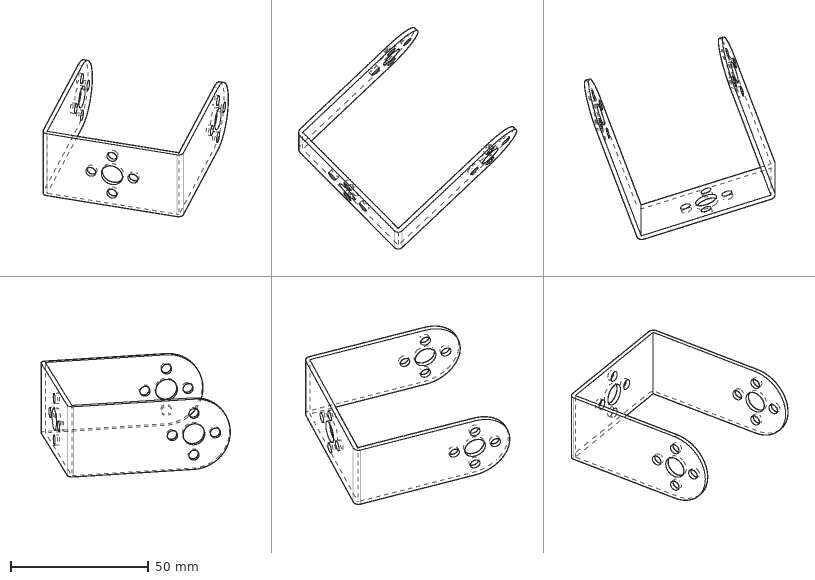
import cadquery as cq

width = 53.2
length = 60.1
height = 27.0
sheet = 1.6
bend_radius = 2.0

center_hole_diameter = 8.0
small_hole_diameter = 3.7
bolt_circle_radius = 8.0
small_hole_count = 4

arm_end_radius = height / 2
arm_hole_y = length - arm_end_radius


def hole_pattern(plane, depth):
    """Cutter for a center hole ringed by small holes, reaching depth to both sides of the plane."""
    center = cq.Workplane(plane).circle(center_hole_diameter / 2).extrude(depth, both=True)
    ring = (
        cq.Workplane(plane)
        .polarArray(bolt_circle_radius, 0, 360, small_hole_count)
        .circle(small_hole_diameter / 2)
        .extrude(depth, both=True)
    )
    return center.union(ring)


outer = (
    cq.Workplane("XY")
    .box(width, length, height, centered=(True, False, True))
    .edges("|Z and <Y")
    .fillet(bend_radius)
)
inner = (
    cq.Workplane("XY")
    .box(width - 2 * sheet, length, height, centered=(True, False, True))
    .translate((0, sheet, 0))
)
channel = outer.cut(inner)

side_profile = (
    cq.Workplane("YZ")
    .moveTo(0, -height / 2)
    .lineTo(arm_hole_y, -height / 2)
    .threePointArc((length, 0), (arm_hole_y, height / 2))
    .lineTo(0, height / 2)
    .close()
    .extrude(width / 2, both=True)
)
bracket = channel.intersect(side_profile)

web_holes = hole_pattern(cq.Plane.XZ(), 2 * sheet)
arm_holes = hole_pattern(cq.Plane.YZ(origin=(0, arm_hole_y, 0)), width)
result = bracket.cut(web_holes).cut(arm_holes)